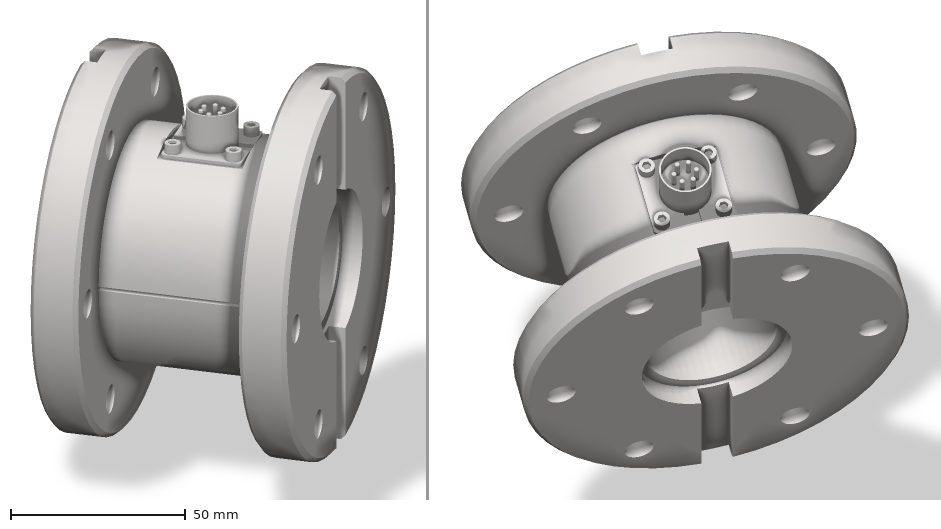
import cadquery as cq
import math

total_length = 76.2
flange_radius = 56.9
flange_thickness = 14.2
flange_chamfer = 1.4
bolt_circle_radius = 46.0
bolt_hole_diameter = 8.5
bolt_hole_count = 6

keyway_width = 9.3
keyway_depth = 5.0
bore_radius = 19.0
counterbore_radius = 22.2
counterbore_depth = 6.0

cover_radius = 34.8
cover_thickness = 0.6
cover_end_gap = 0.6
cover_split_width = 1.1
split_relief_depth = 1.1
split_relief_end_x = 17.5

pocket_side = 25.5
pocket_floor_z = 32.3
plate_side = 23.9
plate_thickness = 1.3
plate_corner_radius = 1.4
plate_slot_width = 4.4

shell_radius = 7.5
shell_wall = 0.51
shell_top_z = 45.3
shell_cavity_depth = 6.4
pin_diameter = 1.5
pin_end_radius = 0.3
pin_circle_radius = 3.3
pin_count = 6
pin_setback = 0.9

screw_pitch = 18.2
screw_head_diameter = 4.7
screw_head_height = 3.0
socket_across_flats = 2.4
socket_depth = 1.5

half_length = total_length / 2
neck_radius = cover_radius - cover_thickness
cover_start_x = flange_thickness - half_length
cover_length = total_length - 2 * flange_thickness - cover_end_gap
cover_center_x = cover_start_x + cover_length / 2
plate_top_z = pocket_floor_z + plate_thickness


def x_cylinder(radius, start_x, length):
    """Cylinder around the X axis."""
    return cq.Workplane("YZ", origin=(start_x, 0, 0)).circle(radius).extrude(length)


def level(z):
    """Horizontal workplane centred on the connector axis."""
    return cq.Workplane("XY", origin=(cover_center_x, 0, z))


def make_flange(start_x):
    """Chamfered disc with a ring of through bolt holes."""
    disc = x_cylinder(flange_radius, start_x, flange_thickness).edges().chamfer(flange_chamfer)
    holes = (
        cq.Workplane("YZ", origin=(start_x, 0, 0))
        .polarArray(bolt_circle_radius, 0, 360, bolt_hole_count)
        .circle(bolt_hole_diameter / 2)
        .extrude(flange_thickness)
    )
    return disc.cut(holes)


def make_cover():
    """Thin sleeve on the neck, split lengthwise on its -Y side."""
    sleeve = x_cylinder(cover_radius, cover_start_x, cover_length)
    sleeve = sleeve.cut(x_cylinder(neck_radius, cover_start_x, cover_length))
    split = cq.Workplane("XY").box(cover_length, cover_radius, cover_split_width)
    return sleeve.cut(split.translate((cover_center_x, -cover_radius, 0)))


def make_split_relief():
    """Cutter that deepens the cover split into the neck over most of its length."""
    length = split_relief_end_x - cover_start_x
    cutter = cq.Workplane("XY").box(length, 2 * split_relief_depth, cover_split_width)
    return cutter.translate((cover_start_x + length / 2, -neck_radius, 0))


def make_plate():
    """Rounded base plate, slotted along X on both sides of the shell."""
    plate = level(pocket_floor_z).rect(plate_side, plate_side).extrude(plate_thickness)
    plate = plate.edges("|Z").fillet(plate_corner_radius)
    slot = level(pocket_floor_z).rect(plate_side, plate_slot_width).extrude(plate_thickness)
    return plate.cut(slot)


def make_shell():
    """Open cup with a ring of pins, rounded at the tips, standing on its floor."""
    cavity_floor_z = shell_top_z - shell_cavity_depth
    shell = level(pocket_floor_z).circle(shell_radius).extrude(shell_top_z - pocket_floor_z)
    shell = shell.cut(level(cavity_floor_z).circle(shell_radius - shell_wall).extrude(shell_cavity_depth))
    pin_length = shell_cavity_depth - pin_setback
    pins = (
        level(cavity_floor_z)
        .polarArray(pin_circle_radius, 90, 360, pin_count)
        .circle(pin_diameter / 2)
        .extrude(pin_length)
        .faces(">Z")
        .edges()
        .fillet(pin_end_radius)
    )
    return shell.union(pins)


def make_screws():
    """Four socket heads sitting on the plate."""
    socket_diameter = socket_across_flats / math.cos(math.pi / 6)
    socket = (
        level(plate_top_z + screw_head_height - socket_depth)
        .transformed(rotate=(0, 0, 90))
        .rarray(screw_pitch, screw_pitch, 2, 2)
        .polygon(6, socket_diameter)
        .extrude(socket_depth)
    )
    heads = (
        level(plate_top_z)
        .rarray(screw_pitch, screw_pitch, 2, 2)
        .circle(screw_head_diameter / 2)
        .extrude(screw_head_height)
    )
    return heads.cut(socket)


body = x_cylinder(neck_radius, -half_length, total_length)
body = body.union(make_flange(-half_length))
body = body.union(make_flange(half_length - flange_thickness))
body = body.union(make_cover())
body = body.cut(make_split_relief())

body = body.cut(x_cylinder(bore_radius, -half_length, total_length))
keyway = cq.Workplane("XY").box(keyway_depth, 2 * flange_radius, keyway_width)
keyway = keyway.rotate((0, 0, 0), (1, 0, 0), 90)
for side in (-1, 1):
    counterbore_center_x = side * (half_length - counterbore_depth / 2)
    counterbore = x_cylinder(counterbore_radius, -counterbore_depth / 2, counterbore_depth)
    body = body.cut(counterbore.translate((counterbore_center_x, 0, 0)))
    body = body.cut(keyway.translate((side * (half_length - keyway_depth / 2), 0, 0)))

pocket = level(pocket_floor_z).rect(pocket_side, pocket_side).extrude(cover_radius - pocket_floor_z)
body = body.cut(pocket)
result = body.union(make_plate()).union(make_shell()).union(make_screws())